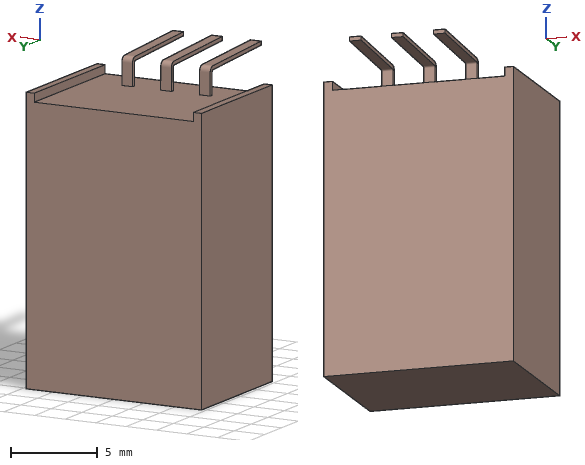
import cadquery as cq
import math

body_width = 11.5
overall_depth = 12.37
overall_height = 19.0

body_depth = 8.5
body_height = 17.5
rail_width = 0.53
rail_height = 0.53
floor_height = body_height - rail_height

pin_count = 3
pin_pitch = 2.55
pin_width = 0.7
pin_thickness = 0.25
pin_setback = 2.25
bend_outer_diameter = 0.7
bend_outer_radius = bend_outer_diameter / 2
bend_inner_radius = bend_outer_radius - pin_thickness
pin_rise_angle = 3.0

pin_tip_y = body_depth - overall_depth
pin_back_y = pin_setback
pin_front_y = pin_back_y - pin_thickness


def make_body():
    block = cq.Workplane("XY").box(body_width, body_depth, body_height, centered=(True, False, False))
    channel = (
        cq.Workplane("XY")
        .workplane(offset=floor_height)
        .box(body_width - 2 * rail_width, body_depth, rail_height, centered=(True, False, False))
    )
    return block.cut(channel)


def make_pin(center_x):
    rise = math.radians(pin_rise_angle)
    vertical_thickness = pin_thickness / math.cos(rise)

    def upper_surface(y):
        return overall_height - (y - pin_tip_y) * math.tan(rise)

    outer_corner = (pin_back_y, upper_surface(pin_back_y))
    inner_corner = (pin_front_y, upper_surface(pin_front_y) - vertical_thickness)
    pin = (
        cq.Workplane("YZ", origin=(center_x, 0, 0))
        .moveTo(pin_back_y, floor_height)
        .lineTo(*outer_corner)
        .lineTo(pin_tip_y, overall_height)
        .lineTo(pin_tip_y, overall_height - vertical_thickness)
        .lineTo(*inner_corner)
        .lineTo(pin_front_y, floor_height)
        .close()
        .extrude(pin_width / 2, both=True)
    )

    for corner, radius in ((outer_corner, bend_outer_radius), (inner_corner, bend_inner_radius)):
        corner_edge = cq.selectors.NearestToPointSelector((center_x, *corner))
        pin = pin.edges(corner_edge).fillet(radius)
    return pin


result = make_body()
for index in range(pin_count):
    pin_x = (index - (pin_count - 1) / 2) * pin_pitch
    result = result.union(make_pin(pin_x))